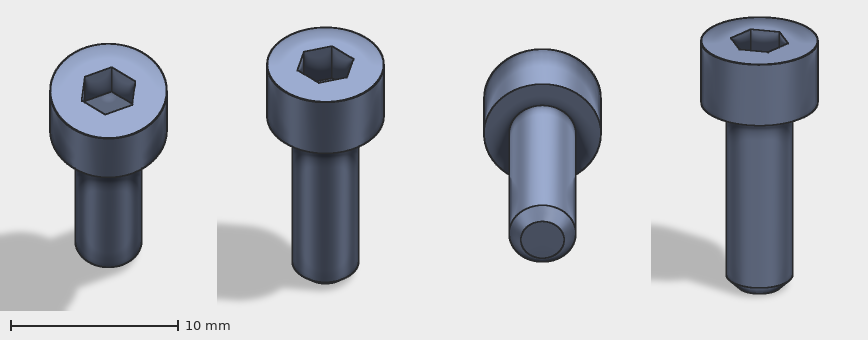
import cadquery as cq
import math

total_length = 16.0
head_diameter = 7.0
head_height = 4.0
shank_diameter = 4.0
head_edge_chamfer = 0.03
tip_chamfer = 0.7
socket_across_flats = 3.04
socket_depth = 2.5

shank_length = total_length - head_height


def make_shank():
    shank = cq.Workplane("XY").circle(shank_diameter / 2).extrude(shank_length)
    return shank.faces("<Z").edges().chamfer(tip_chamfer)


def make_head():
    head = cq.Workplane("XY").workplane(offset=shank_length).circle(head_diameter / 2).extrude(head_height)
    return head.faces(">Z").edges().chamfer(head_edge_chamfer)


def make_socket():
    across_corners = socket_across_flats / math.cos(math.radians(30))
    floor = cq.Workplane("XY").workplane(offset=total_length - socket_depth)
    return floor.polygon(6, across_corners).extrude(socket_depth)


result = make_shank().union(make_head()).cut(make_socket())